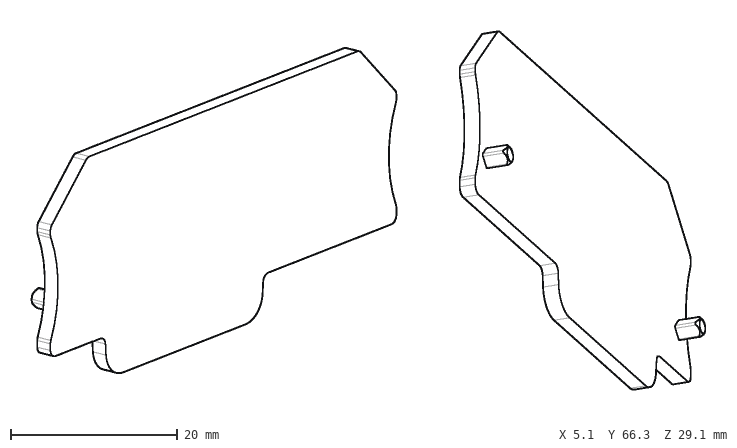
import cadquery as cq

length = 66.3
height = 29.1
thickness = 2.05
half_length = length / 2
corner_cut = 7.1
corner_radius = 1.0

notch_bottom = 7.5
notch_top = 20.9
notch_depth = 1.45
notch_middle = (notch_bottom + notch_top) / 2

tab_drop = 5.45
tab_y_min = -22.7
tab_y_max = 7.7
tab_taper = 0.4
tab_radius = 3.3

overall_thickness = 5.1
peg_length = overall_thickness - thickness
peg_side = 2.0
peg_edge_radius = 0.25
peg_y = 29.6
peg_z = 11.15
tip_length = 0.4
peg_reach = peg_side / 2**0.5 - peg_edge_radius * (2**0.5 - 1)


def make_plate():
    plate = (
        cq.Workplane("YZ")
        .moveTo(tab_y_min + tab_taper, 0)
        .lineTo(tab_y_max - tab_taper, 0)
        .lineTo(tab_y_max, tab_drop)
        .lineTo(half_length, tab_drop)
        .lineTo(half_length, notch_bottom)
        .threePointArc((half_length - notch_depth, notch_middle), (half_length, notch_top))
        .lineTo(half_length, height - corner_cut)
        .lineTo(half_length - corner_cut, height)
        .lineTo(-half_length + corner_cut, height)
        .lineTo(-half_length, height - corner_cut)
        .lineTo(-half_length, notch_top)
        .threePointArc((-half_length + notch_depth, notch_middle), (-half_length, notch_bottom))
        .lineTo(-half_length, tab_drop)
        .lineTo(tab_y_min, tab_drop)
        .close()
        .extrude(thickness)
    )
    below_body = cq.selectors.BoxSelector(
        (-thickness, -length, -tab_drop / 2), (2 * thickness, length, tab_drop / 2)
    )
    plate = plate.edges("|X").edges(below_body).fillet(tab_radius)
    body_corners = cq.selectors.BoxSelector(
        (-thickness, -length, tab_drop - corner_radius), (2 * thickness, length, 2 * height)
    )
    return plate.edges("|X").edges(body_corners).fillet(corner_radius)


def make_peg(y):
    base = cq.Workplane("YZ").center(y, peg_z)
    bar = (
        base.transformed(rotate=(0, 0, 45))
        .rect(peg_side, peg_side)
        .extrude(-peg_length)
        .edges("|X")
        .fillet(peg_edge_radius)
    )
    tip_envelope = base.circle(peg_reach).extrude(-peg_length).faces("<X").chamfer(tip_length)
    return bar.intersect(tip_envelope)


result = make_plate()
for y in (-peg_y, peg_y):
    result = result.union(make_peg(y))